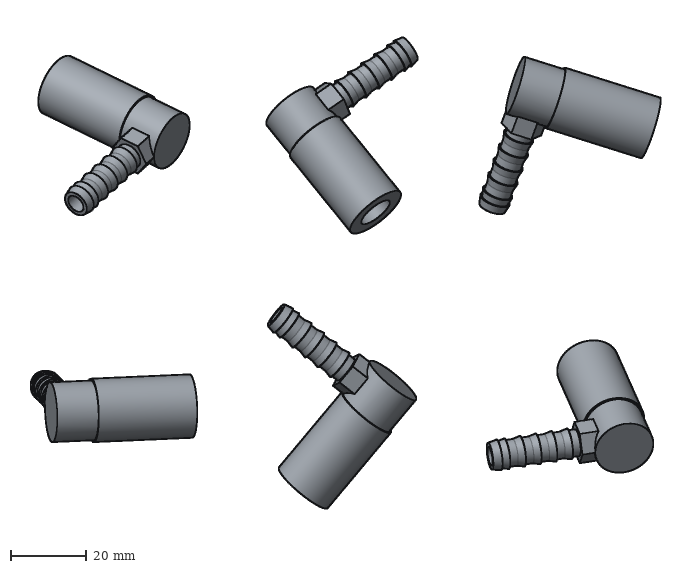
import cadquery as cq

body_diameter = 17.0
body_length = 26.8
socket_diameter = 9.5
socket_depth = body_length

overall_length = 38.0
head_diameter = 16.0
head_length = overall_length - body_length
tail_x = body_length + head_length / 2

hex_end_clearance = 0.01
hex_across_corners = head_length - 2 * hex_end_clearance
hex_face_y = -11.55

overall_depth = 44.0
tip_y = body_diameter / 2 - overall_depth
stem_radius = 7.3 / 2
barb_radius = 8.3 / 2
barb_gap = 2.2
barb_length = 2.1
barb_count = 5

bore_diameter = 5.0


def cylinder_along_x(diameter, start, length):
    return cq.Workplane("YZ").workplane(offset=start).circle(diameter / 2).extrude(length)


def hexagon():
    """Hexagonal prism from the body axis to its outer face, corners towards +X and -X."""
    return (
        cq.Workplane("XZ")
        .center(tail_x, 0)
        .polygon(6, hex_across_corners)
        .extrude(-hex_face_y)
    )


def hose_tail():
    """Revolved stem; each barb steps out sharply and tapers back towards the tip."""
    profile = cq.Workplane("XY").moveTo(tail_x, hex_face_y).lineTo(tail_x + stem_radius, hex_face_y)
    y = hex_face_y
    for _ in range(barb_count):
        barb_start = y - barb_gap
        y = barb_start - barb_length
        profile = (
            profile.lineTo(tail_x + stem_radius, barb_start)
            .lineTo(tail_x + barb_radius, barb_start)
            .lineTo(tail_x + stem_radius, y)
        )
    profile = (
        profile.lineTo(tail_x + barb_radius, y)
        .lineTo(tail_x + stem_radius, tip_y)
        .lineTo(tail_x, tip_y)
        .close()
    )
    return profile.revolve(360, (tail_x, 0, 0), (tail_x, 1, 0))


def flow_passage():
    """Round bore from the socket mouth to the tail tip, with a sharp mitre on the axes."""
    path = cq.Workplane("XY").polyline([(0, 0), (tail_x, 0), (tail_x, tip_y)])
    return cq.Workplane("YZ").circle(bore_diameter / 2).sweep(path, transition="right")


body = cylinder_along_x(body_diameter, 0, body_length)
head = cylinder_along_x(head_diameter, body_length, head_length)
socket = cylinder_along_x(socket_diameter, 0, socket_depth)

result = body.union(head).union(hexagon()).union(hose_tail()).cut(socket).cut(flow_passage())